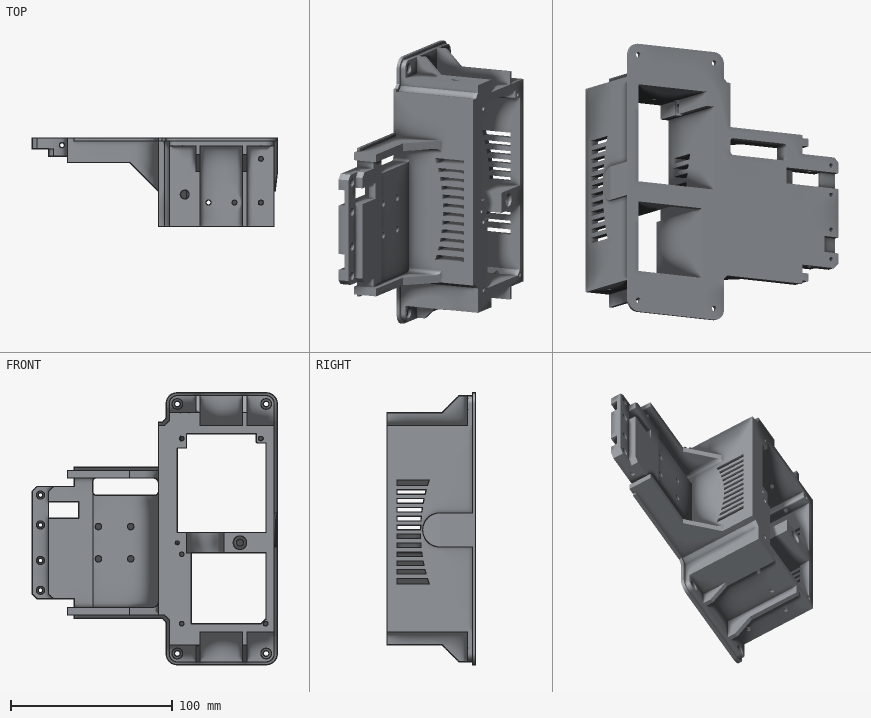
import cadquery as cq


flange_width = 69.0
flange_height = 168.63
total_depth = 55.0
total_length = 152.0

rim_step = 2.0
inner_top = 82.5
rim_thickness = 2.0
flange_thickness = 5.0
corner_radius = 7.0
screw_hole_dia = 3.4
screw_head_dia = 6.6
screw_head_depth = 2.0

rim_right = flange_width / 2
rim_top = flange_height / 2
screw_x = rim_right - corner_radius
screw_z = rim_top - corner_radius

housing_right = rim_right - rim_step
housing_top = 72.0
recess_level = 64.0
duct_left = -39.3
duct_top = recess_level
duct_bottom = -53.5
bevel = 3.0
rim_bevel_shift = 1.4

rib_thickness = 2.6
rib_left = -16.0
rib_right = 13.0
rib_flat_depth = 10.3
rib_end_depth = rib_flat_depth + inner_top - housing_top

cavity_left = -27.5
cavity_right = 27.3
cavity_top = 58.8
beam_top = -2.3
beam_bottom = -15.0
beam_block_left = 1.3
post_left = -18.8
lug_inner_x = -21.8
lug_bottom = 49.9
corner_boss_x = 21.3
corner_boss_z = 53.1
corner_boss_radius = 1.2
corner_support_length = 30.0
corner_wedge = 3.0

beam_hole_x = 11.3
beam_hole_dia = 4.4
beam_counterbore_dia = 8.4
beam_hole_depth = 40.0
beam_counterbore_depth = 20.0

front_hole_dia = 2.8
front_hole_depth = 20.0
lug_hole_x = -24.8
lug_hole_z = -15.8
upper_hole_z = 55.9
upper_right_hole_x = 24.2
pin_hole_dia = 2.4
pad_hole_dia = 3.0
pad_hole_y = -40.1
rear_pad_hole_y = -13.0
pad_hole_xs = (-8.2, 7.9, 24.3)
cable_hole_dia = 5.4
cable_hole_x = -22.9
cable_hole_y = -35.1

slot_count = 12
slot_pitch = 5.5
slot_height = 2.8
end_slot_extra = 0.7
slot_front_y = -48.6
slot_crown_y = -34.2
slot_arc_radius = 98.0
left_slots_z = -7.4
right_slots_z = -2.0

arm_z = -8.65
arm_inner_half = 40.0
arm_wall = 4.85
arm_outer_half = arm_inner_half + arm_wall
arm_wall_left = -95.6
arm_wall_depth = 15.3
arm_slope_x = -57.1
arm_slope_depth = arm_wall_depth + duct_left - arm_slope_x
arm_fillet = 3.0
arm_left = -91.4
floor_depth = 11.0
block_depth = 11.5
block_right = -79.8
arm_slot_height = 10.5
arm_slot_radius = 2.0
arm_hole_dia = 4.0
arm_hole_depth = 5.0
arm_hole_spacing = 20.0
arm_hole_center_x = -66.4

end_left = rim_right - total_length
end_half = 34.85
end_depth = 6.9
step_left = -107.2
terminal_x = -112.3
terminal_offsets = (-29.5, -11.0, 11.0, 29.5)
terminal_hole_dia = 2.8
terminal_head_dia = 5.0
terminal_head_depth = 2.0
window_right = -88.6
window_pocket_depth = 7.1
notch_height = 10.0
notch_depth = 4.3
notch_offset = 20.3
cross_hole_dia = 3.0
cross_hole_x = -99.0
cross_hole_y = -4.5

pad_top = 9.8
pad_bottom = -11.3
pad_flat_depth = 21.8
pad_end_height = 0.7
pad_end_depth = 32.8


def box(x0, x1, y0, y1, z0, z1):
    """Axis-aligned box between two opposite corners."""
    return cq.Workplane("XY").box(x1 - x0, y1 - y0, z1 - z0, centered=False).translate((x0, y0, z0))


def prism_y(points, y_back, y_front):
    """Outline in X and Z, extruded along -Y from y_back to y_front."""
    return cq.Workplane("XZ", origin=(0, y_back, 0)).polyline(points).close().extrude(y_back - y_front)


def hole_y(x, z, diameter, y_start, depth):
    """Round cutter running towards +Y from y_start."""
    return cq.Workplane("XZ", origin=(x, y_start, z)).circle(diameter / 2).extrude(-depth)


def hole_z(x, y, diameter, z0, z1):
    """Round cutter parallel to Z."""
    return cq.Workplane("XY", origin=(x, y, z0)).circle(diameter / 2).extrude(z1 - z0)


def rounded_plate(half_width, half_height, radius, thickness):
    plate = box(-half_width, half_width, -thickness, 0, -half_height, half_height)
    return plate.edges("|Y").fillet(radius)


def duct_outline(step, bevel_shift):
    """Outline of the widened left side, grown by step, with its bevels moved out by bevel_shift."""
    edge_x = -housing_right - step
    bevel_x = -housing_right - bevel - bevel_shift
    bevel_top = duct_top + bevel + bevel_shift
    bevel_bottom = duct_bottom - bevel - bevel_shift
    return [
        (0, bevel_top),
        (edge_x, bevel_top),
        (bevel_x, duct_top + step),
        (duct_left, duct_top + step),
        (duct_left, duct_bottom - step),
        (bevel_x, duct_bottom - step),
        (edge_x, bevel_bottom),
        (0, bevel_bottom),
    ]


def make_flange():
    rim = rounded_plate(rim_right, rim_top, corner_radius, rim_thickness)
    inner = rounded_plate(housing_right, inner_top, corner_radius - rim_step, flange_thickness)
    duct_rim = prism_y(duct_outline(rim_step, rim_bevel_shift), 0, -rim_thickness)
    return rim.union(inner).union(duct_rim)


def make_housing():
    body = box(-housing_right, housing_right, -total_depth, 0, -housing_top, housing_top)
    body = body.union(prism_y(duct_outline(0, 0), 0, -total_depth))
    rib_left_end = rib_left + rib_thickness
    rib_right_end = rib_right + rib_thickness
    for x0, x1 in ((rib_left_end, rib_right), (rib_right_end, housing_right)):
        body = body.cut(box(x0, x1, -total_depth, -flange_thickness, recess_level, housing_top))
        body = body.cut(box(x0, x1, -total_depth, -flange_thickness, -housing_top, -recess_level))
    return body


def make_ribs():
    profile = [
        (0, 0),
        (0, inner_top),
        (-rib_flat_depth, inner_top),
        (-rib_end_depth, housing_top),
        (-rib_end_depth, 0),
    ]
    ribs = cq.Workplane("XY")
    for x in (rib_left, rib_right):
        rib = cq.Workplane("YZ", origin=(x, 0, 0)).polyline(profile).close().extrude(rib_thickness)
        ribs = ribs.add(rib).add(rib.mirror("XY"))
    return ribs.combine()


def make_cavities():
    upper = prism_y(
        [
            (lug_inner_x, cavity_top),
            (cavity_right, cavity_top),
            (cavity_right, beam_top),
            (cavity_left, beam_top),
            (cavity_left, lug_bottom),
            (lug_inner_x, lug_bottom),
        ],
        0,
        -total_depth,
    )
    lower = box(post_left, cavity_right, -total_depth, 0, -cavity_top, beam_bottom)
    beside_beam = box(lug_inner_x, beam_block_left, -total_depth, -flange_thickness, beam_bottom, beam_top)
    return upper.union(lower).union(beside_beam)


def make_corner_supports():
    """Screw boss in the upper right corner and wedge in the lower right corner of the openings."""
    rear_y = corner_support_length - total_depth
    boss = box(corner_boss_x, cavity_right, -total_depth, rear_y, corner_boss_z, cavity_top)
    boss = boss.edges("|Y and <X and <Z").fillet(corner_boss_radius)
    wedge = prism_y(
        [
            (cavity_right, -cavity_top),
            (cavity_right - corner_wedge, -cavity_top),
            (cavity_right, corner_wedge - cavity_top),
        ],
        rear_y,
        -total_depth,
    )
    return boss, wedge


def slot_row(x0, x1, center_z):
    """Slots through a wall from x0 to x1; an arc bounds their rear ends."""
    first_z = center_z - (slot_count - 1) / 2 * slot_pitch
    row = cq.Workplane("XY")
    for i in range(slot_count):
        z0 = first_z + i * slot_pitch - slot_height / 2
        z1 = z0 + slot_height
        if i == 0:
            z0 -= end_slot_extra
        if i == slot_count - 1:
            z1 += end_slot_extra
        row = row.add(box(x0, x1, slot_front_y, 0, z0, z1))
    arc_center = (x0, slot_crown_y + slot_arc_radius, center_z)
    rear_limit = cq.Workplane("YZ", origin=arc_center).circle(slot_arc_radius).extrude(x1 - x0)
    return row.combine().cut(rear_limit)


def arm_wall_slab(z0, z1):
    """Slab with the side profile of the arm walls, from z0 up to z1."""
    profile = [
        (arm_wall_left, 0),
        (arm_wall_left, -arm_wall_depth),
        (arm_slope_x, -arm_wall_depth),
        (duct_left, -arm_slope_depth),
        (duct_left, 0),
    ]
    return cq.Workplane("XY", origin=(0, 0, z0)).polyline(profile).close().extrude(z1 - z0)


def make_arm():
    z0 = arm_z - arm_inner_half
    z1 = arm_z + arm_inner_half
    rim_half = arm_outer_half + rim_step
    arm = box(arm_left, duct_left, -rim_thickness, 0, arm_z - rim_half, arm_z + rim_half)
    for z in (z0 - arm_wall, z1):
        arm = arm.union(arm_wall_slab(z, z + arm_wall))
    arm = arm.union(box(arm_left, duct_left, -floor_depth, 0, z0, z1))
    arm = arm.union(box(arm_left, block_right, -block_depth, 0, z0, z1))

    slot = box(block_right, duct_left, -floor_depth, 0, z1 - arm_slot_height, z1)
    arm = arm.cut(slot.edges("|Y").fillet(arm_slot_radius))
    for dx in (-arm_hole_spacing / 2, arm_hole_spacing / 2):
        for dz in (-arm_hole_spacing / 2, arm_hole_spacing / 2):
            x = arm_hole_center_x + dx
            arm = arm.cut(hole_y(x, arm_z + dz, arm_hole_dia, -floor_depth, arm_hole_depth))
    return arm


def beveled_block(left, depth):
    block = box(left, arm_left, -depth, 0, arm_z - end_half, arm_z + end_half)
    return block.edges("|Y and <X").chamfer(bevel)


def make_terminal_block():
    return beveled_block(end_left, end_depth).union(beveled_block(step_left, block_depth))


def cut_terminal_block(part):
    half = notch_height / 2
    upper_z = arm_z + notch_offset
    lower_z = arm_z - notch_offset
    part = part.cut(box(step_left, window_right, -block_depth, 0, upper_z - half, upper_z + half))
    part = part.cut(box(window_right, block_right, -window_pocket_depth, 0, upper_z - half, upper_z + half))
    for z in (upper_z, lower_z):
        part = part.cut(box(end_left, step_left, -notch_depth, 0, z - half, z + half))
    part = part.cut(hole_z(cross_hole_x, cross_hole_y, cross_hole_dia, arm_z - end_half, arm_z + end_half))
    for dz in terminal_offsets:
        z = arm_z + dz
        part = part.cut(hole_y(terminal_x, z, terminal_hole_dia, -end_depth, end_depth))
        part = part.cut(hole_y(terminal_x, z, terminal_head_dia, -end_depth, terminal_head_depth))
    return part


def cut_flange_holes(part):
    for x in (-screw_x, screw_x):
        for z in (-screw_z, screw_z):
            part = part.cut(hole_y(x, z, screw_hole_dia, -flange_thickness, flange_thickness))
            part = part.cut(hole_y(x, z, screw_head_dia, -flange_thickness, screw_head_depth))
    return part


def cut_front_holes(part):
    points = (
        (lug_hole_x, upper_hole_z),
        (upper_right_hole_x, upper_hole_z),
        (lug_hole_x, lug_hole_z),
        (lug_hole_x, -cavity_top),
        (cavity_right, -cavity_top),
    )
    for x, z in points:
        part = part.cut(hole_y(x, z, front_hole_dia, -total_depth, front_hole_depth))
    beam_z = (beam_top + beam_bottom) / 2
    part = part.cut(hole_y(cavity_left, beam_z, pin_hole_dia, -total_depth, front_hole_depth))
    part = part.cut(hole_y(beam_hole_x, beam_z, beam_counterbore_dia, -total_depth, beam_counterbore_depth))
    return part.cut(hole_y(beam_hole_x, beam_z, beam_hole_dia, -total_depth, beam_hole_depth))


def cut_pad_holes(part):
    places = [(x, pad_hole_y) for x in pad_hole_xs]
    places.append((pad_hole_xs[-1], rear_pad_hole_y))
    for x, y in places:
        part = part.cut(hole_z(x, y, pad_hole_dia, corner_boss_z, housing_top))
        part = part.cut(hole_z(x, y, pad_hole_dia, -housing_top, -corner_boss_z))
    return part.cut(hole_z(cable_hole_x, cable_hole_y, cable_hole_dia, lug_bottom, housing_top))


def make_side_pad():
    """Tongue with a semicircular end on the right face, thinning towards that end."""
    radius = (pad_top - pad_bottom) / 2
    straight_end = radius - pad_end_depth
    tongue = (
        cq.Workplane("YZ")
        .moveTo(0, pad_bottom)
        .lineTo(straight_end, pad_bottom)
        .threePointArc((-pad_end_depth, pad_bottom + radius), (straight_end, pad_top))
        .lineTo(0, pad_top)
        .close()
        .extrude(rim_right)
    )
    taper = [
        (cavity_right, 0),
        (rim_right, 0),
        (rim_right, -pad_flat_depth),
        (housing_right + pad_end_height, -pad_end_depth),
        (cavity_right, -pad_end_depth),
    ]
    limit_plane = cq.Workplane("XY", origin=(0, 0, pad_bottom))
    limit = limit_plane.polyline(taper).close().extrude(pad_top - pad_bottom)
    return tongue.intersect(limit)


def make_arm_fillets():
    """Concave fillets where the arm walls meet the slotted side of the housing."""
    x0 = duct_left - arm_fillet
    z0 = arm_z - arm_inner_half
    z1 = arm_z + arm_inner_half
    corners = box(x0, duct_left, -arm_slope_depth, -floor_depth, z0, z1)
    clearance = box(arm_wall_left, duct_left, -arm_slope_depth, 0, z0, z1)
    clearance = clearance.edges("|Y and >X").fillet(arm_fillet)
    return corners.cut(clearance).intersect(arm_wall_slab(z0, z1))


part = make_flange().union(make_housing()).union(make_ribs()).union(make_side_pad())
part = part.cut(make_cavities())
for support in make_corner_supports():
    part = part.union(support)
part = part.cut(slot_row(duct_left, cavity_left, left_slots_z))
part = part.cut(slot_row(cavity_right, housing_right, right_slots_z))
part = part.union(make_arm()).union(make_terminal_block())
part = part.union(make_arm_fillets())
part = cut_terminal_block(part)
part = cut_flange_holes(part)
part = cut_front_holes(part)
result = cut_pad_holes(part)